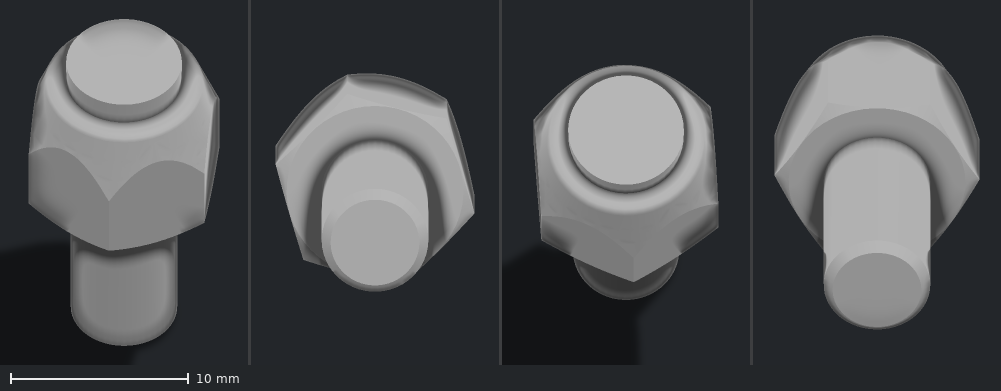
import cadquery as cq
import math

total_height = 21.0
shank_length = 11.0
button_height = 1.5
head_top = total_height - button_height
head_height = head_top - shank_length

shank_diameter = 6.0
shank_chamfer = 0.5
button_diameter = 6.5
across_flats = 10.0
across_corners = across_flats / math.cos(math.radians(30))
corner_radius = across_corners / 2

crown_top_radius = 4.35
crown_half_angle = 20.0
crown_fillet = 0.5
bevel_bottom_radius = 4.98
bevel_angle = 30.0

blank_clearance = 0.2


def make_turned_blank():
    """Revolved envelope that trims the corners of the hexagon."""
    blank_radius = corner_radius + blank_clearance
    bevel_height = (blank_radius - bevel_bottom_radius) * math.tan(math.radians(bevel_angle))
    crown_height = (blank_radius - crown_top_radius) / math.tan(math.radians(crown_half_angle))
    blank = (
        cq.Workplane("XZ")
        .moveTo(0, shank_length)
        .lineTo(bevel_bottom_radius, shank_length)
        .lineTo(blank_radius, shank_length + bevel_height)
        .lineTo(blank_radius, head_top - crown_height)
        .lineTo(crown_top_radius, head_top)
        .lineTo(0, head_top)
        .close()
        .revolve(360, (0, 0, 0), (0, 1, 0))
    )
    return blank.faces(">Z").edges().fillet(crown_fillet)


def make_head():
    """Hexagonal head with two flats square to X."""
    hexagon = (
        cq.Workplane("XY")
        .workplane(offset=shank_length)
        .transformed(rotate=(0, 0, 90))
        .polygon(6, across_corners)
        .extrude(head_height)
    )
    return hexagon.intersect(make_turned_blank())


def make_shank():
    shank = cq.Workplane("XY").circle(shank_diameter / 2).extrude(shank_length)
    return shank.faces("<Z").chamfer(shank_chamfer)


def make_button():
    return (
        cq.Workplane("XY")
        .workplane(offset=head_top)
        .circle(button_diameter / 2)
        .extrude(button_height)
    )


result = make_head().union(make_shank()).union(make_button())